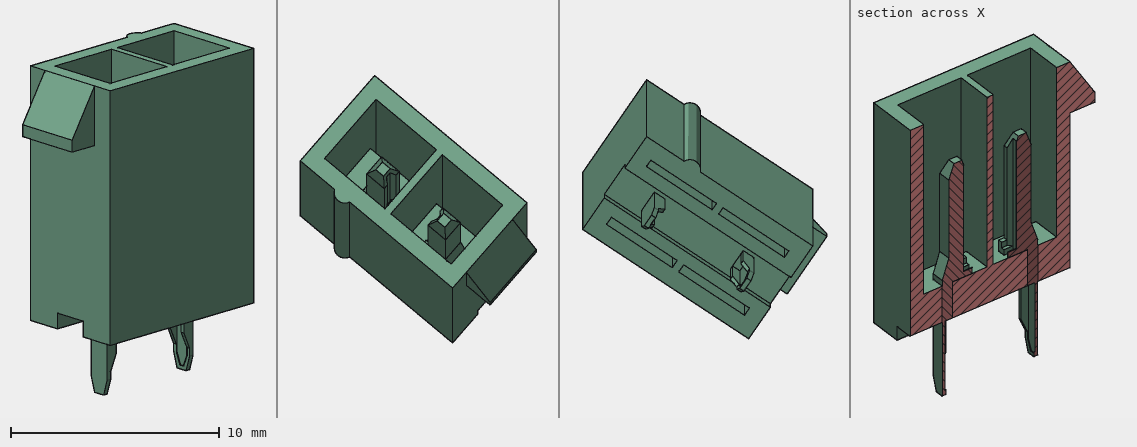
import cadquery as cq


housing_x = 5.5
housing_y = 9.6
housing_z = 12.81
pocket_side = 3.8
divider = 0.37
pocket_y = (pocket_side + divider) / 2
floor_top = 2.93

slot_width_left = 0.37
slot_width_right = 0.42

channel_width = 1.76
channel_depth = 0.8

latch_left = 1.01
latch_width = 3.4
latch_reach = 1.5
latch_height = 3.0
latch_lip = 0.6

rib_width = 0.95
rib_reach = 0.31
rib_y = housing_y / 2 - 2.64

pin_width = 1.11
pin_outer_y = housing_y / 2 - 1.92
tail_depth = 0.62
tail_bottom = -3.49

blade_depth = 0.25
thinning_start = -1.45
thinning_end = -2.3
blade_taper = 0.8
blade_end_width = 0.62
recess_depth = 0.05
recess_rim = 0.2

post_setback = 0.39
post_outer_y = pin_outer_y - post_setback
post_inner_y = post_outer_y - pin_width
post_top = 9.78
tip_side = 0.49
tip_height = 0.83

groove_mouth = 0.64
groove_root = 0.26
groove_depth = 0.21

shoulder_height = 1.47
shoulder_slope = 1.14
ledge_reach = 0.33
ledge_low = 0.33
ledge_high = 0.65


def make_box(x_min, x_max, y_min, y_max, z_min, z_max):
    """Return a box between the given limits."""
    size = (x_max - x_min, y_max - y_min, z_max - z_min)
    return cq.Workplane("XY").box(*size, centered=False).translate((x_min, y_min, z_min))


def extrude_side_profile(points, x_min, width):
    """Extrude a closed (Y, Z) outline along +X, starting at x_min."""
    return cq.Workplane("YZ", origin=(x_min, 0, 0)).polyline(points).close().extrude(width)


def make_latch():
    outer = -housing_y / 2
    tip = outer - latch_reach
    bottom = housing_z - latch_height
    profile = [(outer, housing_z), (tip, bottom + latch_lip), (tip, bottom), (outer, bottom)]
    return extrude_side_profile(profile, -housing_x / 2 + latch_left, latch_width)


def make_rib():
    side = -housing_x / 2
    return (
        cq.Workplane("XY")
        .moveTo(side, rib_y - rib_width / 2)
        .threePointArc((side - rib_reach, rib_y), (side, rib_y + rib_width / 2))
        .close()
        .extrude(housing_z)
    )


def cut_pocket(body, center_y):
    """Cut one pocket down to the floor, and its two openings through the floor."""
    half = pocket_side / 2
    y_min = center_y - half
    y_max = center_y + half
    body = body.cut(make_box(-half, half, y_min, y_max, floor_top, housing_z))
    body = body.cut(make_box(-half, -half + slot_width_left, y_min, y_max, 0, floor_top))
    return body.cut(make_box(half - slot_width_right, half, y_min, y_max, 0, floor_top))


def cut_tail_hole(body, side):
    """Cut the hole through the floor for the tail on the given Y side (+1 or -1)."""
    hole_y = side * (pin_outer_y - tail_depth / 2)
    hole = cq.Workplane("XY").center(0, hole_y).rect(pin_width, tail_depth).extrude(floor_top)
    return body.cut(hole)


def make_housing():
    body = cq.Workplane("XY").rect(housing_x, housing_y).extrude(housing_z)
    body = body.union(make_latch()).union(make_rib())
    channel = cq.Workplane("XY").rect(channel_width, housing_y).extrude(channel_depth)
    body = body.cut(channel)
    for side in (1, -1):
        body = cut_pocket(body, side * pocket_y)
        body = cut_tail_hole(body, side)
    return body


def make_blade_outline(inset, top):
    """Return the face outline of the tail, inset from its sides and end."""
    half = pin_width / 2 - inset
    half_end = blade_end_width / 2 - inset
    end = tail_bottom + inset
    taper_top = tail_bottom + blade_taper
    points = [
        (-half, top),
        (-half, taper_top),
        (-half_end, end),
        (half_end, end),
        (half, taper_top),
        (half, top),
    ]
    return cq.Workplane("XZ", origin=(0, pin_outer_y, 0)).polyline(points).close()


def make_tail():
    """Tail through the floor, thinned to a tapered blade, with a shallow recess in its inner face."""
    inner_y = pin_outer_y - tail_depth
    blade_y = pin_outer_y - blade_depth
    side_profile = [
        (pin_outer_y, floor_top),
        (pin_outer_y, tail_bottom),
        (blade_y, tail_bottom),
        (blade_y, thinning_end),
        (inner_y, thinning_start),
        (inner_y, floor_top),
    ]
    tail = extrude_side_profile(side_profile, -pin_width / 2, pin_width)
    tail = tail.intersect(make_blade_outline(0, floor_top).extrude(tail_depth))
    web = blade_depth - recess_depth
    recess = make_blade_outline(recess_rim, channel_depth).extrude(tail_depth)
    return tail.cut(recess.translate((0, -web, 0)))


def make_post():
    """Square post with a pyramid tip and a tapered groove in its inner face."""
    center_y = (post_outer_y + post_inner_y) / 2
    tip_base = post_top - tip_height
    half = pin_width / 2
    shaft = make_box(-half, half, post_inner_y, post_outer_y, floor_top, tip_base)
    tip = (
        cq.Workplane("XY", origin=(0, center_y, tip_base))
        .rect(pin_width, pin_width)
        .workplane(offset=tip_height)
        .rect(tip_side, tip_side)
        .loft(ruled=True)
    )
    root_y = post_inner_y + groove_depth
    groove = (
        cq.Workplane("XY", origin=(0, 0, floor_top))
        .polyline([
            (-groove_mouth / 2, post_inner_y),
            (-groove_root / 2, root_y),
            (groove_root / 2, root_y),
            (groove_mouth / 2, post_inner_y),
        ])
        .close()
        .extrude(post_top - floor_top)
    )
    return shaft.union(tip).cut(groove)


def make_shoulder_back():
    top = floor_top + shoulder_height
    profile = [
        (post_outer_y, floor_top),
        (pin_outer_y, floor_top),
        (pin_outer_y, top - shoulder_slope),
        (post_outer_y, top),
    ]
    return extrude_side_profile(profile, -pin_width / 2, pin_width)


def add_ledges(pin):
    """Add a stepped ledge on each side of the groove, the wider step being the lower one."""
    outer_x = pin_width / 2
    inner_y = post_inner_y - ledge_reach
    root_y = post_inner_y + groove_depth
    high_x = groove_mouth / 2
    low_x = groove_root / 2
    high = make_box(high_x, outer_x, inner_y, post_inner_y, floor_top, floor_top + ledge_high)
    low = make_box(low_x, outer_x, inner_y, root_y, floor_top, floor_top + ledge_low)
    ledge = high.union(low)
    return pin.union(ledge).union(ledge.mirror("YZ"))


def make_pin():
    pin = make_tail().union(make_shoulder_back()).union(make_post())
    return add_ledges(pin)


housing = make_housing()
pins = [make_pin().rotate((0, 0, 0), (0, 0, 1), turn) for turn in (0, 180)]

result = cq.Compound.makeCompound([housing.val(), *[pin.val() for pin in pins]])